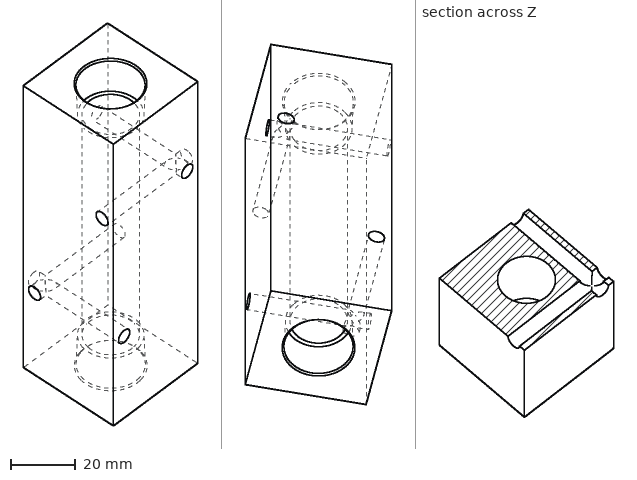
import cadquery as cq

side = 38.1
height = 120.6

bore_diameter = 17.7
port_diameter = 21.4
port_depth = 13.2
port_taper = 1 / 16
mouth_diameter = 22.5
mouth_chamfer_depth = 0.6

cross_hole_diameter = 5.1
cross_hole_offset = 14.2
cross_hole_height = 25.3


def make_bore():
    """Bore with a tapered, chamfered port ending in a flat shoulder at both ends."""
    bore_radius = bore_diameter / 2
    port_radius = port_diameter / 2
    chamfer_start = height / 2 - mouth_chamfer_depth
    shoulder = height / 2 - port_depth
    shoulder_radius = port_radius - port_taper * (chamfer_start - shoulder) / 2
    upper_half = (
        cq.Workplane("XZ")
        .lineTo(bore_radius, 0)
        .lineTo(bore_radius, shoulder)
        .lineTo(shoulder_radius, shoulder)
        .lineTo(port_radius, chamfer_start)
        .lineTo(mouth_diameter / 2, height / 2)
        .lineTo(0, height / 2)
        .close()
        .revolve(360, (0, 0, 0), (0, 1, 0))
    )
    return upper_half.union(upper_half.mirror("XY"))


def make_cross_hole(plane, offset, level):
    """Hole normal to the given plane, right through the block."""
    return (
        cq.Workplane(plane)
        .center(offset, level)
        .circle(cross_hole_diameter / 2)
        .extrude(side, both=True)
    )


result = cq.Workplane().box(side, side, height).cut(make_bore())

for direction in (1, -1):
    for plane in ("XZ", "YZ"):
        hole = make_cross_hole(plane, direction * cross_hole_offset, direction * cross_hole_height)
        result = result.cut(hole)